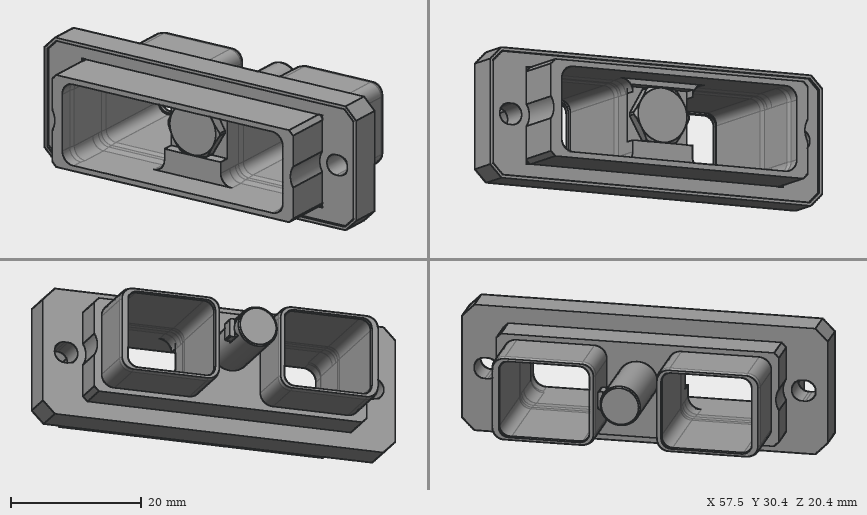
import cadquery as cq
import math


FLANGE_WIDTH = 57.45
FLANGE_HEIGHT = 20.35
FLANGE_CHAMFER = 1.95
FLANGE_FRONT = 7.65
FLANGE_BACK = 12.75
RIM_WIDTH = 0.5
RIM_DEPTH = 0.45
CORNER_RELIEF_DEPTH = 0.3

SCREW_X = 24.95
SLOT_LENGTH = 3.8
SLOT_HEIGHT = 3.35
SCREW_CLEARANCE_RADIUS = 3.2

BODY_WIDTH = 44.4
BODY_HEIGHT = 15.1
BODY_CHAMFER = 0.75
BODY_BACK = 17.9

CAVITY_WIDTH = 40.7
CAVITY_HEIGHT = 13.3
CAVITY_RADIUS = 2.0
SIDE_STEP_START = 2.0
SIDE_STEP_END = 2.9
SIDE_STEP = 0.25
SEPTUM_FRONT = 5.5

SOCKET_X = 12.9
SOCKET_WIDTH = 16.2
SOCKET_HEIGHT = 13.45
SOCKET_RADIUS = 2.0
SOCKET_END = 26.7
SOCKET_TIP_LENGTH = 0.75
SOCKET_TIP_INSET = 0.2

SEPTUM_WIDTH = 10.35
TAPER_RISE = 0.1
FIRST_TAPER_START = 8.0
FIRST_TAPER_END = 9.55
SECOND_TAPER_START = 10.4
SECOND_TAPER_END = 11.55
LIP_X = 12.75
LIP_WIDTH = 14.25
LIP_HEIGHT = 12.3
LIP_RADIUS = 1.6
LIP_THICKNESS = 0.75

BOLT_Z = 1.45
HEAD_ACROSS_FLATS = 8.45
HEAD_FRONT = 5.6
HEAD_CHAMFER_ANGLE = 30.0
HEAD_CORNER_RADIUS = 4.75
SEAT_BOTTOM = -2.9
SEAT_TOP = 5.8
SEAT_DEPTH = 1.85
SHAFT_RADIUS = 3.15
SHAFT_END = 30.4
SHAFT_CHAMFER = 0.25

KEY_Y = 27.3
KEY_WIDTH = 2.2
KEY_BASE_WIDTH = 3.7
KEY_HEIGHT = 2.9
KEY_BASE_X = 2.8
KEY_FLARE_X = 3.1
KEY_REACH = 3.9
KEY_CHAMFER = 0.2

bore_outer_x = CAVITY_WIDTH / 2 - SIDE_STEP
bore_inner_x = SEPTUM_WIDTH / 2
bore_x = (bore_outer_x + bore_inner_x) / 2
bore_width = bore_outer_x - bore_inner_x


def section(y, x=0.0, z=0.0):
    """Sketch plane at depth y whose normal points to +Y; its local X runs along -X."""
    return cq.Workplane(cq.Plane(origin=(x, y, z), xDir=(-1, 0, 0), normal=(0, 1, 0)))


def block(width, height, front, back, x=0.0, z=0.0):
    return section(front, x, z).rect(width, height).extrude(back - front)


def chamfered_block(width, height, chamfer, front, back):
    return block(width, height, front, back).edges("|Y").chamfer(chamfer)


def rounded_block(width, height, radius, front, back, x=0.0):
    return block(width, height, front, back, x).edges("|Y").fillet(radius)


def rounded_outline(width, height, radius):
    return cq.Sketch().rect(width, height).vertices().fillet(radius)


def tapered_block(width, height, radius, side_inset, inset, front, back, x=0.0):
    """Rounded block whose outline shrinks from front to back by the given insets."""
    start = rounded_outline(width, height, radius)
    end = rounded_outline(width - 2 * side_inset, height - 2 * inset, radius - inset)
    return section(front, x).placeSketch(start, end.moved(cq.Location(cq.Vector(0, 0, back - front)))).loft()


def make_flange():
    flange = chamfered_block(FLANGE_WIDTH, FLANGE_HEIGHT, FLANGE_CHAMFER, FLANGE_FRONT, FLANGE_BACK)
    recess_chamfer = FLANGE_CHAMFER - RIM_WIDTH * (2 - math.sqrt(2))
    recess_floor = FLANGE_FRONT + RIM_DEPTH
    recess = chamfered_block(FLANGE_WIDTH - 2 * RIM_WIDTH, FLANGE_HEIGHT - 2 * RIM_WIDTH, recess_chamfer,
                             FLANGE_FRONT, recess_floor)
    flange = flange.cut(recess)
    relief_end = recess_floor + CORNER_RELIEF_DEPTH
    for x_side in (-1, 1):
        for z_side in (-1, 1):
            x = x_side * (BODY_WIDTH - BODY_CHAMFER) / 2
            z = z_side * (BODY_HEIGHT - BODY_CHAMFER) / 2
            flange = flange.cut(block(BODY_CHAMFER, BODY_CHAMFER, recess_floor, relief_end, x, z))
    return flange


def make_body():
    body = chamfered_block(BODY_WIDTH, BODY_HEIGHT, BODY_CHAMFER, 0, BODY_BACK)
    for x in (-SCREW_X, SCREW_X):
        body = body.cut(section(0, x).circle(SCREW_CLEARANCE_RADIUS).extrude(BODY_BACK))
    return body


def make_socket(x):
    tip_start = SOCKET_END - SOCKET_TIP_LENGTH
    socket = rounded_block(SOCKET_WIDTH, SOCKET_HEIGHT, SOCKET_RADIUS, FLANGE_BACK, tip_start, x)
    tip = tapered_block(SOCKET_WIDTH, SOCKET_HEIGHT, SOCKET_RADIUS, SOCKET_TIP_INSET, SOCKET_TIP_INSET,
                        tip_start, SOCKET_END, x)
    return socket.union(tip)


def make_cavity():
    entry = rounded_block(CAVITY_WIDTH, CAVITY_HEIGHT, CAVITY_RADIUS, 0, SIDE_STEP_START)
    step = tapered_block(CAVITY_WIDTH, CAVITY_HEIGHT, CAVITY_RADIUS, SIDE_STEP, 0,
                         SIDE_STEP_START, SIDE_STEP_END)
    inner = rounded_block(CAVITY_WIDTH - 2 * SIDE_STEP, CAVITY_HEIGHT, CAVITY_RADIUS,
                          SIDE_STEP_END, SEPTUM_FRONT)
    return entry.union(step).union(inner)


def make_bore(side):
    """Stepped bore on the -X or +X side, from the end of the cavity step out through the socket."""
    x = side * bore_x
    middle_height = CAVITY_HEIGHT - 2 * TAPER_RISE
    middle_radius = CAVITY_RADIUS - TAPER_RISE
    rear_width = bore_width - 2 * TAPER_RISE
    rear_height = middle_height - 2 * TAPER_RISE
    rear_radius = middle_radius - TAPER_RISE
    lip_start = SOCKET_END - LIP_THICKNESS
    return (
        rounded_block(bore_width, CAVITY_HEIGHT, CAVITY_RADIUS, SIDE_STEP_END, FIRST_TAPER_START, x)
        .union(tapered_block(bore_width, CAVITY_HEIGHT, CAVITY_RADIUS, 0, TAPER_RISE,
                             FIRST_TAPER_START, FIRST_TAPER_END, x))
        .union(rounded_block(bore_width, middle_height, middle_radius,
                             FIRST_TAPER_END, SECOND_TAPER_START, x))
        .union(tapered_block(bore_width, middle_height, middle_radius, TAPER_RISE, TAPER_RISE,
                             SECOND_TAPER_START, SECOND_TAPER_END, x))
        .union(rounded_block(rear_width, rear_height, rear_radius, SECOND_TAPER_END, lip_start, x))
        .union(rounded_block(LIP_WIDTH, LIP_HEIGHT, LIP_RADIUS, lip_start, SOCKET_END, side * LIP_X))
    )


def make_bolt_seat():
    """Pocket across the septum that takes the bolt head and opens into both bores."""
    return block(SEPTUM_WIDTH, SEAT_TOP - SEAT_BOTTOM, SEPTUM_FRONT, SEPTUM_FRONT + SEAT_DEPTH,
                 z=(SEAT_TOP + SEAT_BOTTOM) / 2)


def make_bolt():
    head_back = SEPTUM_FRONT + SEAT_DEPTH
    head_length = head_back - HEAD_FRONT
    across_corners = HEAD_ACROSS_FLATS / math.cos(math.radians(30))
    head = section(HEAD_FRONT, z=BOLT_Z).polygon(6, across_corners).extrude(head_length)
    face_radius = HEAD_ACROSS_FLATS / 2
    bevel_depth = (HEAD_CORNER_RADIUS - face_radius) * math.tan(math.radians(HEAD_CHAMFER_ANGLE))
    blank = (
        cq.Workplane("XY")
        .moveTo(0, HEAD_FRONT)
        .lineTo(face_radius, HEAD_FRONT)
        .lineTo(HEAD_CORNER_RADIUS, HEAD_FRONT + bevel_depth)
        .lineTo(HEAD_CORNER_RADIUS, head_back)
        .lineTo(0, head_back)
        .close()
        .revolve(360, (0, 0, 0), (0, 1, 0))
        .translate((0, 0, BOLT_Z))
    )
    shaft = section(head_back, z=BOLT_Z).circle(SHAFT_RADIUS).extrude(SHAFT_END - head_back)
    shaft = shaft.faces(">Y").chamfer(SHAFT_CHAMFER)
    return head.intersect(blank).union(shaft).union(make_key())


def make_key():
    half_base = KEY_BASE_WIDTH / 2
    half_width = KEY_WIDTH / 2
    key = (
        cq.Workplane("XY")
        .center(0, KEY_Y)
        .moveTo(0, -half_base)
        .lineTo(KEY_BASE_X, -half_base)
        .lineTo(KEY_FLARE_X, -half_width)
        .lineTo(KEY_REACH, -half_width)
        .lineTo(KEY_REACH, half_width)
        .lineTo(KEY_FLARE_X, half_width)
        .lineTo(KEY_BASE_X, half_base)
        .lineTo(0, half_base)
        .close()
        .extrude(KEY_HEIGHT / 2, both=True)
    )
    return key.faces(">X").edges("|Y").chamfer(KEY_CHAMFER).translate((0, 0, BOLT_Z))


housing = make_flange().union(make_body())
for socket_x in (-SOCKET_X, SOCKET_X):
    housing = housing.union(make_socket(socket_x))

housing = housing.cut(make_cavity())
for bore_side in (-1, 1):
    housing = housing.cut(make_bore(bore_side))
housing = housing.cut(make_bolt_seat())

for screw_x in (-SCREW_X, SCREW_X):
    slot = section(FLANGE_FRONT, screw_x).slot2D(SLOT_LENGTH, SLOT_HEIGHT).extrude(FLANGE_BACK - FLANGE_FRONT)
    housing = housing.cut(slot)

result = housing.union(make_bolt())